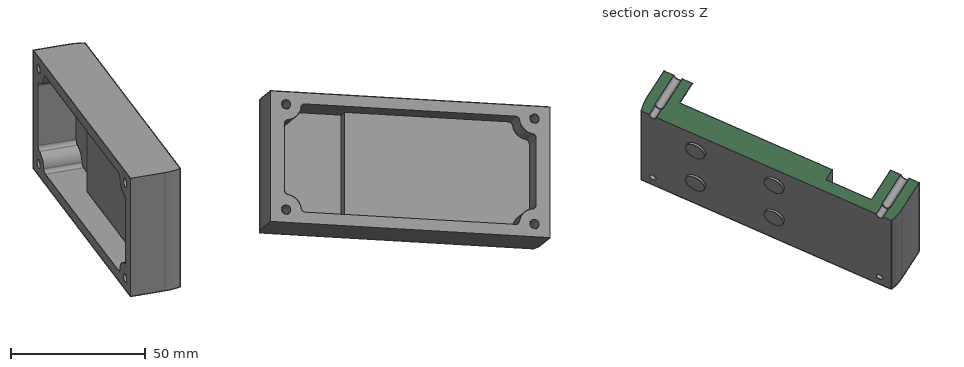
import cadquery as cq
import math

LENGTH = 107.3
HEIGHT = 49.7
TOTAL_DEPTH = 21.0
FOOT_HEIGHT = 1.0
BODY_DEPTH = TOTAL_DEPTH - FOOT_HEIGHT

STRAIGHT_DEPTH = 13.6
END_INSET = 1.1
BACK_CHAMFER = 0.2

SIDE_WALL = 5.4
TOP_WALL = 4.3
SHALLOW_DEPTH = 10.0
DEEP_DEPTH = 15.0
STEP_X = -22.5

SCREW_INSET_X = 6.0
SCREW_INSET_Z = 4.8
SCREW_DIAMETER = 2.8
SCREW_COUNTERBORE_DIAMETER = 3.4
SCREW_COUNTERBORE_DEPTH = DEEP_DEPTH
POST_DIAMETER = 11.6
POST_FILLET = 1.7

FOOT_DIAMETER = 8.0
FOOT_SPACING_X = 33.0
FOOT_SPACING_Z = 21.0

CAVITY_RIGHT = LENGTH / 2 - SIDE_WALL
CAVITY_HEIGHT = HEIGHT - 2 * TOP_WALL
FOOT_CENTER_X = (STEP_X + CAVITY_RIGHT) / 2


def plane_at(depth, center_x=0):
    """XZ sketch plane at a distance behind the open face, with its normal toward -Y."""
    return cq.Workplane(cq.Plane(origin=(center_x, depth, 0), xDir=(1, 0, 0), normal=(0, -1, 0)))


def make_body():
    """Block whose two ends curve inward toward the back face."""
    half = LENGTH / 2
    arc_depth = BODY_DEPTH - STRAIGHT_DEPTH
    radius = (arc_depth**2 + END_INSET**2) / (2 * END_INSET)
    half_angle = math.asin(arc_depth / radius) / 2
    mid_x = half - radius * (1 - math.cos(half_angle))
    mid_y = STRAIGHT_DEPTH + radius * math.sin(half_angle)
    return (
        cq.Workplane("XY")
        .workplane(offset=-HEIGHT / 2)
        .moveTo(-half, 0)
        .lineTo(half, 0)
        .lineTo(half, STRAIGHT_DEPTH)
        .threePointArc((mid_x, mid_y), (half - END_INSET, BODY_DEPTH))
        .lineTo(-half + END_INSET, BODY_DEPTH)
        .threePointArc((-mid_x, mid_y), (-half, STRAIGHT_DEPTH))
        .close()
        .extrude(HEIGHT)
        .faces(">Y")
        .edges("|Z")
        .chamfer(BACK_CHAMFER)
    )


def at_screws(sketch):
    """Select the four screw positions."""
    return sketch.rect(LENGTH - 2 * SCREW_INSET_X, HEIGHT - 2 * SCREW_INSET_Z, forConstruction=True).vertices()


def make_cavity():
    """Pocket with rounded post cutouts, deeper on the -X side of the step."""
    posts = at_screws(plane_at(0)).circle(POST_DIAMETER / 2).extrude(-DEEP_DEPTH)
    pocket = (
        plane_at(0)
        .rect(2 * CAVITY_RIGHT, CAVITY_HEIGHT)
        .extrude(-DEEP_DEPTH)
        .cut(posts)
        .edges("|Y")
        .fillet(POST_FILLET)
    )
    raised_floor = (
        plane_at(SHALLOW_DEPTH, FOOT_CENTER_X)
        .rect(CAVITY_RIGHT - STEP_X, CAVITY_HEIGHT)
        .extrude(-(DEEP_DEPTH - SHALLOW_DEPTH))
    )
    return pocket.cut(raised_floor)


def make_screw_holes():
    """Through holes, widened from the open face down to the level of the cavity floor."""
    through = at_screws(plane_at(0)).circle(SCREW_DIAMETER / 2).extrude(-BODY_DEPTH)
    counterbore = (
        at_screws(plane_at(0)).circle(SCREW_COUNTERBORE_DIAMETER / 2).extrude(-SCREW_COUNTERBORE_DEPTH)
    )
    return through.union(counterbore)


def make_feet():
    """Four short round feet on the back face."""
    return (
        plane_at(BODY_DEPTH, FOOT_CENTER_X)
        .rect(FOOT_SPACING_X, FOOT_SPACING_Z, forConstruction=True)
        .vertices()
        .circle(FOOT_DIAMETER / 2)
        .extrude(-FOOT_HEIGHT)
    )


result = make_body().cut(make_cavity()).cut(make_screw_holes()).union(make_feet())